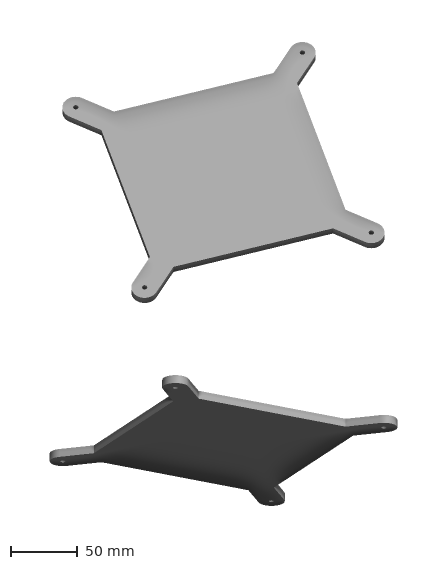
import cadquery as cq

overall = 198.0
thickness = 6.3
plate_side = 153.5
arm_width = 20.0
hole_diameter = 4.0

hole_offset = overall / 2 - arm_width / 2
hole_diagonal = hole_offset * 2 ** 0.5
arm_length = 2 * hole_diagonal + arm_width


def diagonal_arm(angle):
    """Round-ended bar through the centre, reaching two opposite corners."""
    return cq.Workplane("XY").slot2D(arm_length, arm_width, angle).extrude(thickness)


plate = cq.Workplane("XY").rect(plate_side, plate_side).extrude(thickness)
for arm_angle in (45, 135):
    plate = plate.union(diagonal_arm(arm_angle))
plate = plate.clean()

result = (
    plate.faces(">Z")
    .workplane(origin=(0, 0, thickness))
    .rect(2 * hole_offset, 2 * hole_offset, forConstruction=True)
    .vertices()
    .hole(hole_diameter)
)